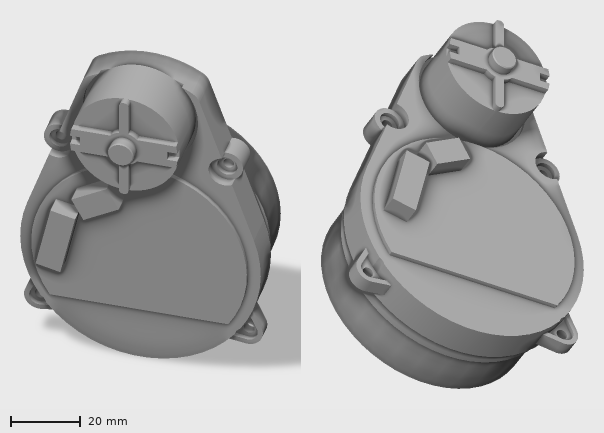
import cadquery as cq
import math


case_radius = 71.5 / 2
case_depth = 10.6
motor_height = 50.0
case_top = 64.4
crown_radius = 30.3
side_angle = math.radians(19.5)
crown_corner_radius = 5.1
recess_radius = 17.1
recess_depth = 1.6

gasket_depth = 0.3
gasket_radius = 34.1
gasket_tip_radius = 7.6
gasket_side_angle = math.radians(30)
flange_radius = 34.4
flange_rear = 15.3
drum_front_radius = 33.4
drum_rear_radius = 33.0
drum_rear = 31.0
drum_rim_chamfer = 0.5
hub_radius = 7.0
hub_rear = 13.2
hub_chamfer = 0.6

motor_radius = 32.0 / 2
motor_length = 15.4
rib_height = 2.1
rib_ring_radius = 5.5
band_width = 7.5
rib_width = 2.7
rib_corner_radius = 1.2
notch_width = 2.7
notch_inner_x = 12.9
shaft_radius = 7.6 / 2
shaft_tip = 20.9
shaft_chamfer = 0.3

cover_radius = 32.0
cover_depth = 1.5
cover_flat_z = -18.0
connector_height = 5.9
connectors = [
    (-11.4, 20.9, 12.0, 7.4, 29),
    (-23.2, 5.5, 20.0, 7.5, 77.3),
]

mount_face = 3.1
ear_x = 24.9
ear_z = 34.4
ear_radius = 4.7
ear_bore_radius = 6.0 / 2
ear_bore_depth = 1.5
ear_hole_radius = 3.2 / 2
lug_x = 31.0
lug_z = -22.7
lug_radius = 4.5
lug_rear = 7.7
lug_half_angle = 28.5
lug_wall = 1.5
lug_pocket_depth = 1.5
lug_hole_radius = 1.6
lug_clearance_radius = 6.0 / 2


def front_plane(y):
    """Sketch plane at the given Y, with local x = X and local y = Z."""
    return cq.Workplane("XZ", origin=(0, y, 0))


def disc(x, z, radius, y_front, y_rear):
    return front_plane(y_front).center(x, z).circle(radius).extrude(y_front - y_rear)


def block(x_size, z_size, x, z, y_front, y_rear):
    return front_plane(y_front).center(x, z).rect(x_size, z_size).extrude(y_front - y_rear)


def gear_case():
    """Round case whose tangent sides narrow up to an arched crown."""
    tangent_x = case_radius * math.cos(side_angle)
    tangent_z = case_radius * math.sin(side_angle)
    crown_z = case_top - crown_radius
    offset = case_radius - crown_z * math.sin(side_angle)
    reach = math.sqrt(crown_radius**2 - offset**2)
    corner_x = offset * math.cos(side_angle) - reach * math.sin(side_angle)
    corner_z = crown_z + offset * math.sin(side_angle) + reach * math.cos(side_angle)
    case = (
        front_plane(0)
        .moveTo(tangent_x, tangent_z)
        .lineTo(corner_x, corner_z)
        .threePointArc((0, case_top), (-corner_x, corner_z))
        .lineTo(-tangent_x, tangent_z)
        .threePointArc((0, -case_radius), (tangent_x, tangent_z))
        .close()
        .extrude(-case_depth)
    )
    margin = 1
    crown_corners = cq.selectors.BoxSelector(
        (-corner_x - margin, -margin, corner_z - margin),
        (corner_x + margin, case_depth + margin, corner_z + margin),
    )
    case = case.edges("|Y").edges(crown_corners).fillet(crown_corner_radius)
    return case.cut(disc(0, motor_height, recess_radius, 0, recess_depth))


def gasket():
    """Thin layer behind the case: a disc with a rounded peak around the hub."""
    tip_x = gasket_tip_radius * math.cos(gasket_side_angle)
    tip_z = motor_height + gasket_tip_radius * math.sin(gasket_side_angle)
    foot_z = gasket_radius * math.sin(gasket_side_angle)
    foot_x = tip_x + (tip_z - foot_z) * math.tan(gasket_side_angle)
    peak = (
        front_plane(case_depth)
        .moveTo(tip_x, tip_z)
        .threePointArc((0, motor_height + gasket_tip_radius), (-tip_x, tip_z))
        .lineTo(-foot_x, foot_z)
        .lineTo(foot_x, foot_z)
        .close()
        .extrude(-gasket_depth)
    )
    return disc(0, 0, gasket_radius, case_depth, case_depth + gasket_depth).union(peak)


def rear_drum():
    """Flange and slightly tapered drum on the drum axis, and a hub behind the motor."""
    flange = disc(0, 0, flange_radius, case_depth + gasket_depth, flange_rear)
    drum = (
        cq.Workplane("XY")
        .moveTo(0, flange_rear)
        .lineTo(drum_front_radius, flange_rear)
        .lineTo(drum_rear_radius, drum_rear)
        .lineTo(0, drum_rear)
        .close()
        .revolve(360, (0, 0, 0), (0, 1, 0))
        .faces(">Y")
        .chamfer(drum_rim_chamfer)
    )
    hub = disc(0, motor_height, hub_radius, case_depth, hub_rear).faces(">Y").chamfer(hub_chamfer)
    return flange.union(drum).union(hub)


def motor():
    """Motor can with a raised cross on its front face and a stub shaft."""
    face = -motor_length
    rib_face = face - rib_height
    can = disc(0, motor_height, motor_radius, recess_depth, face)

    upright = block(rib_width, 2 * motor_radius, 0, motor_height, face, rib_face)
    upright = upright.edges("|Y").fillet(rib_corner_radius)
    band = block(2 * motor_radius, band_width, 0, motor_height, face, rib_face)
    ring = disc(0, motor_height, rib_ring_radius, face, rib_face)
    notch_length = motor_radius - notch_inner_x
    for side in (-1, 1):
        notch_x = side * (notch_inner_x + notch_length / 2)
        band = band.cut(block(notch_length, notch_width, notch_x, motor_height, face, rib_face))
    cross = upright.union(band).union(ring)
    cross = cross.intersect(disc(0, motor_height, motor_radius, face, rib_face))

    shaft = disc(0, motor_height, shaft_radius, face, -shaft_tip).faces("<Y").chamfer(shaft_chamfer)
    return can.union(cross).union(shaft)


def front_cover():
    """Round cover cut off by a flat at the bottom, carrying two connector blocks."""
    cover = disc(0, 0, cover_radius, 0, -cover_depth)
    flat_height = cover_radius + cover_flat_z
    flat_middle = (cover_flat_z - cover_radius) / 2
    cover = cover.cut(block(2 * cover_radius, flat_height, 0, flat_middle, 0, -cover_depth))
    for x, z, length, width, angle in connectors:
        connector = (
            front_plane(-cover_depth)
            .center(x, z)
            .transformed(rotate=(0, 0, angle))
            .rect(length, width)
            .extrude(connector_height)
        )
        cover = cover.union(connector)
    return cover


def add_ear(body, side):
    """Upper screw boss, sunk below the case front, with a counterbored hole."""
    x = side * ear_x
    bore_floor = mount_face + ear_bore_depth
    body = body.cut(disc(x, ear_z, ear_radius, 0, mount_face))
    body = body.union(disc(x, ear_z, ear_radius, mount_face, case_depth))
    body = body.cut(disc(x, ear_z, ear_bore_radius, mount_face, bore_floor))
    return body.cut(disc(x, ear_z, ear_hole_radius, mount_face, case_depth))


def lug_wedge(side, radius, y_front, y_rear):
    """Round-nosed wedge that widens from the lug hole towards the case centre."""
    spread = math.radians(lug_half_angle)
    distance = math.hypot(lug_x, lug_z)
    tangent_x = radius * math.sin(spread)
    tangent_y = radius * math.cos(spread)
    base_half_width = radius / math.cos(spread) + distance * math.tan(spread)
    direction = math.degrees(math.atan2(lug_z, side * lug_x))
    return (
        front_plane(y_front)
        .transformed(rotate=(0, 0, direction))
        .moveTo(0, -base_half_width)
        .lineTo(distance + tangent_x, -tangent_y)
        .threePointArc((distance + radius, 0), (distance + tangent_x, tangent_y))
        .lineTo(0, base_half_width)
        .close()
        .extrude(y_front - y_rear)
    )


def add_lug(body, side):
    """Lower screw lug with a walled pocket and a screw clearance cut in the case rim."""
    x = side * lug_x
    pocket_floor = mount_face + lug_pocket_depth
    lug = lug_wedge(side, lug_radius, mount_face, lug_rear)
    lug = lug.cut(lug_wedge(side, lug_radius - lug_wall, mount_face, pocket_floor))
    lug = lug.cut(disc(x, lug_z, lug_hole_radius, mount_face, lug_rear))
    lug = lug.cut(disc(0, 0, case_radius, 0, case_depth))
    clearance = disc(x, lug_z, lug_clearance_radius, 0, case_depth)
    return body.cut(clearance).union(lug)


case = gear_case()
for side in (-1, 1):
    case = add_ear(case, side)
    case = add_lug(case, side)

result = case.union(gasket()).union(rear_drum()).union(motor()).union(front_cover())